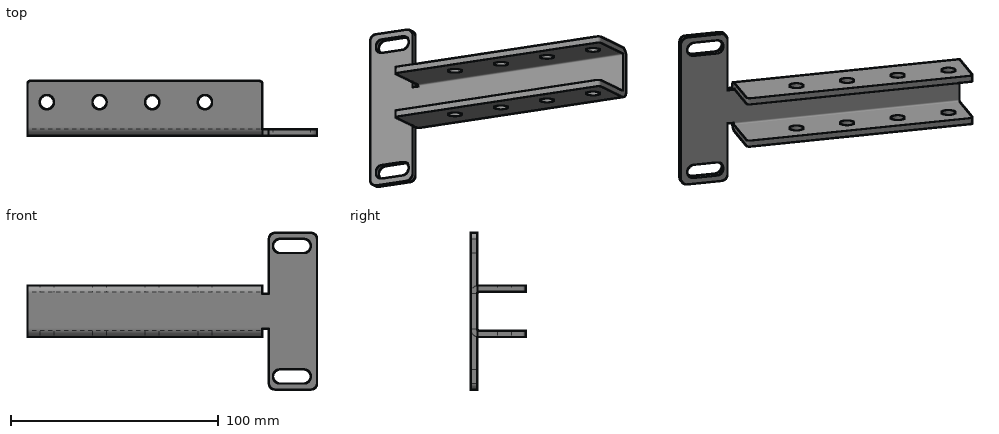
import cadquery as cq

overall_length = 139.7
sheet = 3.175
channel_depth = 26.54

channel_length = 113.28
channel_height = 24.99
bend_inner_radius = 0.79
bend_outer_radius = bend_inner_radius + sheet
flange_corner_radius = 1.58

hole_diameter = 6.75
hole_count = 4
hole_pitch = 25.4
first_hole_x = 9.4
hole_y = 16.2

head_width = 23.37
head_height = 75.69
head_corner_radius = 3.175
slot_length = 18.1
slot_width = 6.75
slot_edge_distance = 6.4
slot_center_from_end = 12.2

neck_height = channel_height - 2 * bend_outer_radius
head_center_x = overall_length - head_width / 2
slot_center_x = overall_length - slot_center_from_end
slot_offset_z = head_height / 2 - slot_edge_distance


def make_channel():
    """U-shaped channel, open toward +Y, with rounded bends and flange corners."""
    inner_height = channel_height - 2 * sheet
    outer = (
        cq.Workplane("XY")
        .box(channel_length, channel_depth, channel_height, centered=(False, False, True))
        .edges("|X and <Y")
        .fillet(bend_outer_radius)
    )
    inner = (
        cq.Workplane("XY")
        .box(channel_length, channel_depth, inner_height, centered=(False, False, True))
        .translate((0, sheet, 0))
        .edges("|X and <Y")
        .fillet(bend_inner_radius)
    )
    return outer.cut(inner).edges("|Z and >Y").fillet(flange_corner_radius)


def make_flange_holes():
    """Row of cylinders that pierce both flanges."""
    centers = [(first_hole_x + i * hole_pitch, hole_y) for i in range(hole_count)]
    return (
        cq.Workplane("XY")
        .pushPoints(centers)
        .circle(hole_diameter / 2)
        .extrude(channel_height, both=True)
    )


def make_flat_plate(width, height, center_x):
    """Rectangular piece of sheet lying in the plane of the channel web."""
    return (
        cq.Workplane("XY")
        .box(width, sheet, height, centered=(True, False, True))
        .translate((center_x, 0, 0))
    )


def make_head():
    """Rounded mounting head with a slot near its top and bottom edges."""
    plate = make_flat_plate(head_width, head_height, head_center_x)
    plate = plate.edges("|Y").fillet(head_corner_radius)
    slots = (
        cq.Workplane("XZ")
        .pushPoints([(slot_center_x, side * slot_offset_z) for side in (-1, 1)])
        .slot2D(slot_length, slot_width)
        .extrude(2 * sheet, both=True)
    )
    return plate.cut(slots)


def make_neck():
    """Flat web that joins the channel to the head, ending inside the head."""
    neck_length = head_center_x - channel_length
    return make_flat_plate(neck_length, neck_height, channel_length + neck_length / 2)


channel = make_channel().cut(make_flange_holes())
result = channel.union(make_neck()).union(make_head())